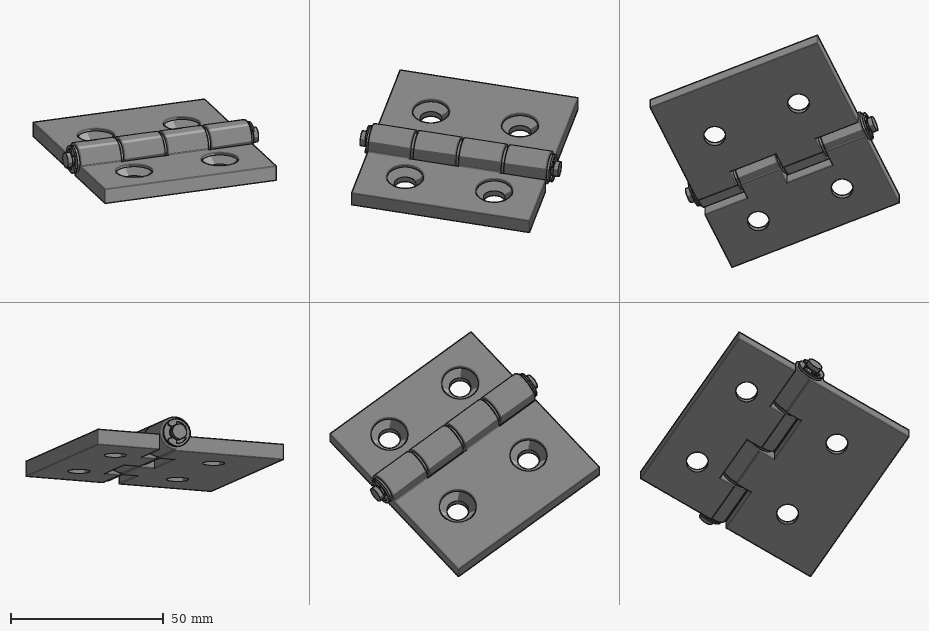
import cadquery as cq
import math


leaf_length = 60.0
leaf_thickness = 5.15
left_reach = 38.5
right_reach = 27.55
barrel_radius = 5.4
barrel_lift = 0.5
barrel_clearance = 0.2
edge_round = 0.2
leaf_bottom = -barrel_radius - barrel_lift
leaf_top = leaf_bottom + leaf_thickness

knuckle_count = 4
knuckle_gap = 1.0
knuckle_pitch = (leaf_length + knuckle_gap) / knuckle_count
knuckle_length = knuckle_pitch - knuckle_gap

hole_spacing = 30.0
left_hole_offset = 20.0
right_hole_offset = 15.0
hole_diameter = 7.15
sink_diameter = 12.0
sink_cone_depth = 2.2
sink_rim_depth = 0.95

pin_length = 66.7
pin_radius = 2.5
groove_radius = 2.0
groove_clearance = 0.3

washer_radius = 4.55
end_washer_thickness = 0.8

clip_thickness = 0.6
clip_radius = washer_radius
clip_inner_face = leaf_length / 2 + end_washer_thickness
clip_tip = 3.1
horn_outer_height = 2.35
horn_inner_height = 1.75
horn_round = 0.4
relief_radius = 3.6
relief_start = 86.0
relief_end = 154.0
relief_round = 0.4


def cylinder(radius, start, length):
    """Cylinder around the pin axis, running in +Y from start."""
    return cq.Workplane("XZ", origin=(0, start, 0)).circle(radius).extrude(-length)


def block(x_range, y_start, y_length):
    """Slab with the thickness of a leaf."""
    width = x_range[1] - x_range[0]
    return (
        cq.Workplane("XY", origin=(x_range[0], y_start, leaf_bottom))
        .rect(width, y_length, centered=False)
        .extrude(leaf_thickness)
    )


def knuckle_start(index):
    return -leaf_length / 2 + index * knuckle_pitch


def make_screw_hole(x, y):
    """Cutter for a countersunk hole with a short straight rim and a rounded mouth."""
    sink_radius = sink_diameter / 2
    hole_radius = hole_diameter / 2
    rim_bottom = leaf_top - sink_rim_depth
    arc_middle = edge_round * (1 - math.sqrt(0.5))
    cutter = (
        cq.Workplane("XZ")
        .moveTo(0, leaf_bottom)
        .lineTo(hole_radius, leaf_bottom)
        .lineTo(hole_radius, rim_bottom - sink_cone_depth)
        .lineTo(sink_radius, rim_bottom)
        .lineTo(sink_radius, leaf_top - edge_round)
        .threePointArc(
            (sink_radius + arc_middle, leaf_top - arc_middle),
            (sink_radius + edge_round, leaf_top),
        )
        .lineTo(0, leaf_top)
        .close()
        .revolve()
    )
    return cutter.translate((x, y, 0))


def slot_corners(x):
    """Selector for the upright inner corners of the knuckle slots, which stay sharp."""
    margin = 0.1
    y_limit = leaf_length / 2 - margin
    return cq.selectors.BoxSelector(
        (x - margin, -y_limit, leaf_bottom + margin),
        (x + margin, y_limit, leaf_top - margin),
    )


def make_leaf(side, reach, hole_offset, knuckles):
    """Leaf on one side of the pin: side is -1 for left and 1 for right."""
    inner_edge = barrel_radius + barrel_clearance
    leaf = block(sorted((side * inner_edge, side * reach)), -leaf_length / 2, leaf_length)
    for index in knuckles:
        leaf = leaf.union(block(sorted((0, side * inner_edge)), knuckle_start(index), knuckle_length))
        leaf = leaf.union(cylinder(barrel_radius, knuckle_start(index), knuckle_length))
    leaf = leaf.edges(cq.selectors.InverseSelector(slot_corners(side * inner_edge))).fillet(edge_round)
    for y in (-hole_spacing / 2, hole_spacing / 2):
        leaf = leaf.cut(make_screw_hole(side * hole_offset, y))
    return leaf.cut(cylinder(pin_radius, -leaf_length / 2, leaf_length))


def make_pin():
    """Pin with a clip groove near each end."""
    pin = cylinder(pin_radius, -pin_length / 2, pin_length)
    groove_width = clip_thickness + groove_clearance
    for start in (clip_inner_face, -clip_inner_face - groove_width):
        ring = cylinder(pin_radius, start, groove_width).cut(cylinder(groove_radius, start, groove_width))
        pin = pin.cut(ring)
    return pin


def make_washer(start, thickness):
    return cylinder(washer_radius, start, thickness).cut(cylinder(pin_radius, start, thickness))


def polar(radius, angle):
    return (radius * math.cos(math.radians(angle)), radius * math.sin(math.radians(angle)))


def make_relief(start, flip):
    """Cutter for the arched gap between two of the lugs that grip the pin."""
    middle = (relief_start + relief_end) / 2
    inner_radius = groove_radius - relief_round
    arch = (
        cq.Workplane("XZ", origin=(0, start, 0))
        .moveTo(*polar(inner_radius, relief_start))
        .lineTo(*polar(relief_radius, relief_start))
        .threePointArc(polar(relief_radius, middle), polar(relief_radius, relief_end))
        .lineTo(*polar(inner_radius, relief_end))
        .threePointArc(polar(inner_radius, middle), polar(inner_radius, relief_start))
        .close()
        .extrude(-clip_thickness)
        .edges("|Y")
        .fillet(relief_round)
    )
    return arch.mirror("XY") if flip else arch


def make_clip(start):
    """E-shaped clip in a pin groove, with its mouth towards +X."""
    clip = cylinder(clip_radius, start, clip_thickness)
    mouth = [
        (0, horn_inner_height),
        (horn_inner_height, horn_inner_height),
        (clip_tip, horn_outer_height),
        (clip_tip, clip_radius),
        (clip_radius, clip_radius),
        (clip_radius, -clip_radius),
        (clip_tip, -clip_radius),
        (clip_tip, -horn_outer_height),
        (horn_inner_height, -horn_inner_height),
        (0, -horn_inner_height),
    ]
    clip = clip.cut(cq.Workplane("XZ", origin=(0, start, 0)).polyline(mouth).close().extrude(-clip_thickness))
    for height in (horn_outer_height, -horn_outer_height):
        corner = cq.selectors.NearestToPointSelector((clip_tip, start + clip_thickness / 2, height))
        clip = clip.edges(corner).fillet(horn_round)
    for flip in (False, True):
        clip = clip.cut(make_relief(start, flip))
    return clip.cut(cylinder(groove_radius, start, clip_thickness))


left_leaf = make_leaf(-1, left_reach, left_hole_offset, knuckles=(1, 3))
right_leaf = make_leaf(1, right_reach, right_hole_offset, knuckles=(0, 2))
pin = make_pin()

washers = [make_washer(knuckle_start(i) - knuckle_gap, knuckle_gap) for i in range(1, knuckle_count)]
for washer_start in (leaf_length / 2, -clip_inner_face):
    washers.append(make_washer(washer_start, end_washer_thickness))

clips = [make_clip(start) for start in (clip_inner_face, -clip_inner_face - clip_thickness)]

result = cq.Compound.makeCompound(
    [
        left_leaf.val(),
        right_leaf.val(),
        pin.val(),
        *[washer.val() for washer in washers],
        *[clip.val() for clip in clips],
    ]
)